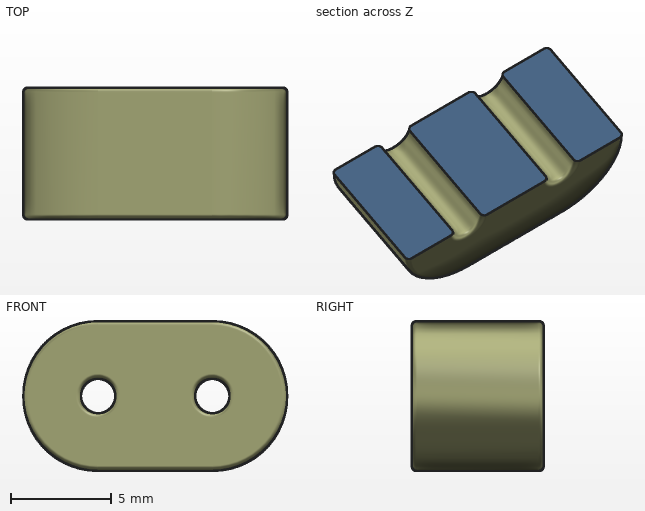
import cadquery as cq

length = 13.2
depth = 6.6
height = 7.5

hole_diameter = 1.7
hole_spacing = length - height

edge_radius = 0.25

block = cq.Workplane("XZ").slot2D(length, height).extrude(depth / 2, both=True)

hole_cutters = (
    cq.Workplane("XZ")
    .pushPoints([(-hole_spacing / 2, 0), (hole_spacing / 2, 0)])
    .circle(hole_diameter / 2)
    .extrude(depth / 2, both=True)
)
drilled_block = block.cut(hole_cutters)

result = drilled_block.faces("<Y or >Y").edges().fillet(edge_radius)